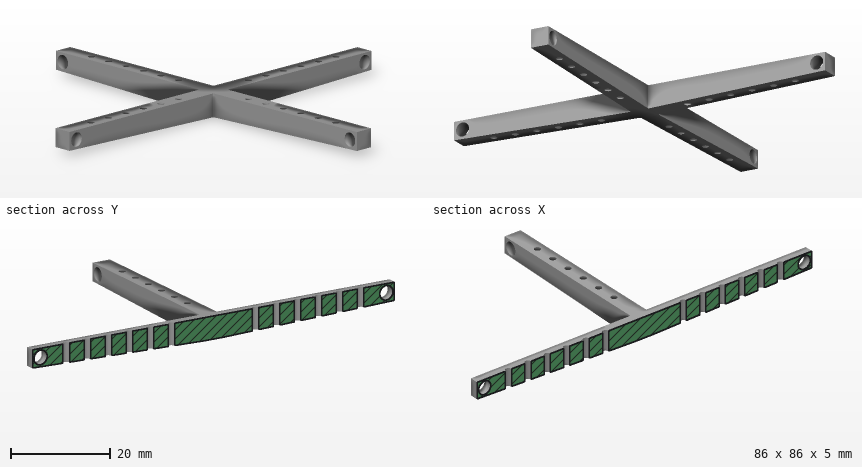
import cadquery as cq

span = 86.0
height = 5.0
arm_width = 4.0
tip_height = 3.95
corner_radius = 0.3

end_hole_diameter = 3.0
row_hole_diameter = 1.5
row_hole_count = 6
row_hole_pitch = 5.0
first_row_hole = 2 * row_hole_pitch

half_span = span / 2
half_width = arm_width / 2
end_hole_center = half_span - tip_height / 2
taper_start = half_width + corner_radius


def side_profile(plane):
    """Bar seen from its side: flat top, underside rising from the hub to each tip."""
    return (
        cq.Workplane(plane)
        .moveTo(-half_span, 0)
        .lineTo(half_span, 0)
        .lineTo(half_span, -tip_height)
        .lineTo(taper_start, -height)
        .lineTo(-taper_start, -height)
        .lineTo(-half_span, -tip_height)
        .close()
    )


def bar(plane):
    return side_profile(plane).extrude(half_width, both=True)


def hub():
    """Square block under the crossing whose scooped corners round the inner angles."""
    block_side = arm_width + 2 * corner_radius
    block = cq.Workplane("XY").rect(block_side, block_side).extrude(-height)
    scoops = (
        cq.Workplane("XY")
        .rect(block_side, block_side, forConstruction=True)
        .vertices()
        .circle(corner_radius)
        .extrude(-height)
    )
    return block.cut(scoops)


def end_holes(plane):
    """Cross holes through both tips of one bar."""
    return (
        cq.Workplane(plane)
        .pushPoints([(side * end_hole_center, -tip_height / 2) for side in (-1, 1)])
        .circle(end_hole_diameter / 2)
        .extrude(arm_width, both=True)
    )


def row_holes():
    """Vertical through holes, evenly spaced along all four arms."""
    centers = []
    for index in range(row_hole_count):
        distance = first_row_hole + index * row_hole_pitch
        centers += [(distance, 0), (-distance, 0), (0, distance), (0, -distance)]
    return cq.Workplane("XY").pushPoints(centers).circle(row_hole_diameter / 2).extrude(-height)


result = bar("XZ").union(bar("YZ")).union(hub())
for bar_plane in ("XZ", "YZ"):
    result = result.cut(end_holes(bar_plane))
result = result.cut(row_holes())